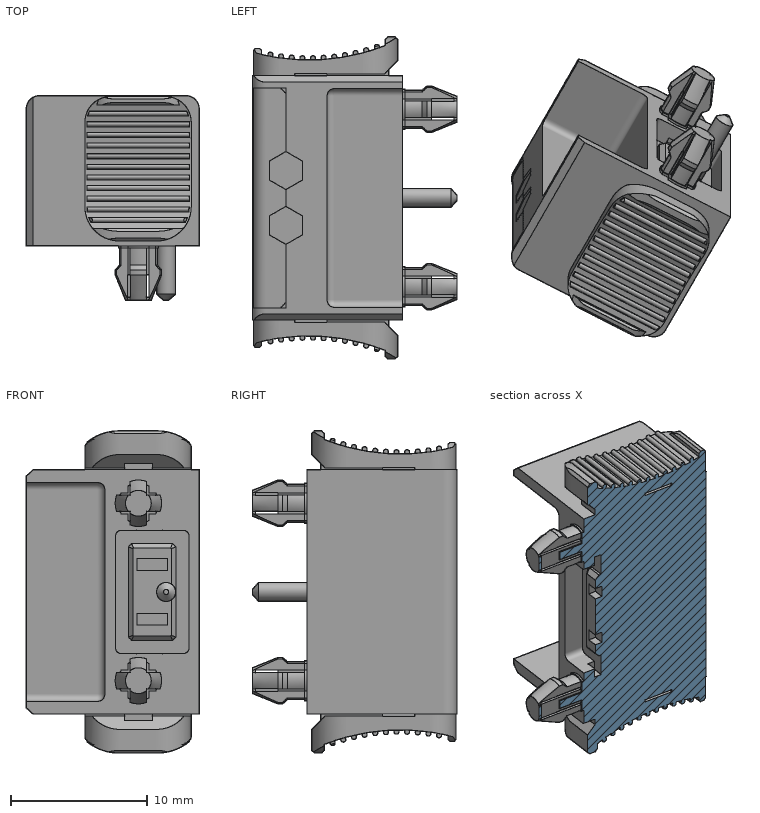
import cadquery as cq
import math

WIDTH = 12.7
DEPTH = 11.02
HEIGHT = 17.93
TOTAL_HEIGHT = 23.65
BACK_RADIUS = 1.0
EDGE_CHAMFER_X = 0.52
EDGE_CHAMFER_Z = 0.47
HALF_HEIGHT = HEIGHT / 2

NOTCH_WIDTH = 5.77
NOTCH_DEPTH = 5.53
NOTCH_HEIGHT = 16.03
NOTCH_FILLET = 0.52

PANEL_FRONT = 8.55
PANEL_HEIGHT = 16.13
PANEL_RECESS = 0.07
PANEL_PIT_LEG = 0.4
PANEL_PIT_DEPTH = 0.24
HEX_DIAMETER = 2.8
HEX_SPACING = 4.02
HEX_RECESS = 0.15

POCKET_LEFT = 6.55
POCKET_WIDTH = 5.4
POCKET_HEIGHT = 9.03
POCKET_DEPTH = 1.55
POCKET_RADIUS = 0.43
BLOCK_LEFT = 7.5
BLOCK_WIDTH = 3.48
BLOCK_LENGTH = 7.1
BLOCK_RISE = 0.52
BLOCK_CHAMFER = 0.33
BLOCK_CORNER = 0.24
SLOT_CENTRE_X = 9.25
SLOT_WIDTH = 2.27
SLOT_HEIGHT = 0.85
SLOT_SPACING = 4.02
SLOT_DEPTH = 0.6
WINDOW_LEFT = 8.1
WINDOW_WIDTH = 1.9
WINDOW_FRONT = 1.0
WINDOW_REACH = 0.7

REACH = 4.0
PIN_X = 10.26
PIN_RADIUS = 1.4 / 2
PIN_TIP_LENGTH = 0.45
PIN_TIP_RADIUS = 0.2
PEG_X = 8.23
PEG_Z = 6.5
PEG_NECK_RADIUS = 1.4
PEG_BARB_RADIUS = 1.7
PEG_TIP_RADIUS = 1.9 / 2
PEG_NECK_LENGTH = 1.42
PEG_BARB_START = 1.77
PEG_BARB_END = 2.13
PEG_ARM_WIDTH = 1.2
PEG_FOOT = 0.17
PEG_SLIT = 0.17
PEG_CORE_WIDTH = 0.7
PEG_SLIT_END = REACH - 0.24

BUTTON_LEFT = 4.3
BUTTON_WIDTH = 7.8
BUTTON_FRONT = 0.35
BUTTON_BACK = 10.95
BUTTON_FRONT_RADIUS = 2.53
BUTTON_BACK_RADIUS = 1.9
BUTTON_GAP = 0.15
BUTTON_FOOT_FRONT = 7.9
BUTTON_CHAMFER = 0.97
FRONT_CROWN_FLAT = 2.75
FRONT_CROWN_RADIUS = 3.78
BACK_CROWN_FLAT = 3.78
BACK_CROWN_WIDTH = 6.62
BACK_CROWN_RADIUS = 1.65
DISH_RADIUS = 15.14
DISH_Y = 6.85
DISH_Z = 10.12
FRONT_LIP_WIDTH = 0.92
BACK_LIP_WIDTH = 0.61
BACK_LIP_Z = 10.97
LIP_BEVEL = 0.21
BACK_LIP_BEVEL = 0.17
RIDGE_COUNT = 11
RIDGE_FIRST_Y = 1.9
RIDGE_PITCH = 0.78
RIDGE_RADIUS = 0.2
RIDGE_LIFT = 0.12
RIDGE_INSET = 0.15
STEM_LEFT = 7.21
STEM_WIDTH = 2.03
STEM_FRONT = 1.02
STEM_BACK = 5.55


def box(x, y, z, size_x, size_y, size_z):
    """Box from its low X and Y corner, centred on height z."""
    return (
        cq.Workplane("XY")
        .box(size_x, size_y, size_z, centered=(False, False, True))
        .translate((x, y, z))
    )


def rounded_block(inset):
    """Full-height block with round back edges, its side and back faces moved in by inset."""
    return (
        box(inset, 0, 0, WIDTH - 2 * inset, DEPTH - inset, HEIGHT)
        .edges("|Z and >Y")
        .fillet(BACK_RADIUS - inset)
    )


def make_body():
    """Body block with chamfered left edges and the large notch."""
    chamfer_profile = (
        cq.Workplane("XZ")
        .moveTo(0, HALF_HEIGHT)
        .lineTo(EDGE_CHAMFER_X, HALF_HEIGHT)
        .lineTo(0, HALF_HEIGHT - EDGE_CHAMFER_Z)
        .close()
        .extrude(-DEPTH)
    )
    overshoot = 2 * NOTCH_FILLET
    notch = (
        box(
            -overshoot, -overshoot, 0,
            NOTCH_WIDTH + overshoot, NOTCH_DEPTH + overshoot, NOTCH_HEIGHT,
        )
        .edges("(>X and >Y) or (>X and >Z) or (>X and <Z) or (>Y and >Z) or (>Y and <Z)")
        .fillet(NOTCH_FILLET)
    )
    return (
        rounded_block(0)
        .cut(chamfer_profile)
        .cut(chamfer_profile.mirror("XY"))
        .cut(notch)
    )


def panel_recess():
    """Shallow label recess with corner pits and two hexagons."""
    zone = box(0, PANEL_FRONT, 0, BACK_RADIUS, DEPTH - PANEL_FRONT, PANEL_HEIGHT)
    recess = zone.cut(rounded_block(PANEL_RECESS))
    half_panel = PANEL_HEIGHT / 2
    pit = (
        cq.Workplane("YZ")
        .moveTo(PANEL_FRONT, half_panel)
        .lineTo(PANEL_FRONT + PANEL_PIT_LEG, half_panel)
        .lineTo(PANEL_FRONT, half_panel - PANEL_PIT_LEG)
        .close()
        .extrude(PANEL_PIT_DEPTH)
    )
    for side in (-1, 1):
        hexagon = (
            cq.Workplane("YZ")
            .polygon(6, HEX_DIAMETER)
            .extrude(HEX_RECESS)
            .rotate((0, 0, 0), (1, 0, 0), 90)
            .translate((0, PANEL_FRONT, side * HEX_SPACING / 2))
        )
        recess = recess.union(hexagon)
    return recess.union(pit).union(pit.mirror("XY"))


def connector_pocket():
    """Space removed by the connector pocket around its raised slotted block."""
    pocket = (
        box(POCKET_LEFT, 0, 0, POCKET_WIDTH, POCKET_DEPTH, POCKET_HEIGHT)
        .edges("|Y")
        .fillet(POCKET_RADIUS)
    )
    windows = box(
        WINDOW_LEFT, WINDOW_FRONT, 0,
        WINDOW_WIDTH, POCKET_DEPTH - WINDOW_FRONT, POCKET_HEIGHT + 2 * WINDOW_REACH,
    )
    block_front = POCKET_DEPTH - BLOCK_RISE
    block = (
        box(BLOCK_LEFT, block_front, 0, BLOCK_WIDTH, BLOCK_RISE, BLOCK_LENGTH)
        .edges("|Y")
        .chamfer(BLOCK_CORNER)
        .faces("<Y")
        .chamfer(BLOCK_CHAMFER)
    )
    space = pocket.union(windows).cut(block)
    for side in (-1, 1):
        slot = box(
            SLOT_CENTRE_X - SLOT_WIDTH / 2, block_front, side * SLOT_SPACING / 2,
            SLOT_WIDTH, SLOT_DEPTH, SLOT_HEIGHT,
        )
        space = space.union(slot)
    return space


def make_pin():
    """Round contact pin with a conical tip, standing on the pocket floor."""
    return (
        cq.Workplane("XY")
        .moveTo(0, POCKET_DEPTH)
        .lineTo(PIN_RADIUS, POCKET_DEPTH)
        .lineTo(PIN_RADIUS, PIN_TIP_LENGTH - REACH)
        .lineTo(PIN_TIP_RADIUS, -REACH)
        .lineTo(0, -REACH)
        .close()
        .revolve(360, (0, 0, 0), (0, 1, 0))
        .translate((PIN_X, 0, 0))
    )


def cross(arm_width, length):
    """Plus-shaped prism along -Y with arms reaching past the peg barbs."""
    span = 2 * PEG_BARB_RADIUS
    arm = box(-span / 2, -length, 0, span, length, arm_width)
    return arm.union(arm.rotate((0, 0, 0), (0, 1, 0), 90))


def make_peg():
    """Barbed snap peg: four prongs around a post, joined at foot and tip."""
    barbed = (
        cq.Workplane("XY")
        .lineTo(PEG_NECK_RADIUS, 0)
        .lineTo(PEG_NECK_RADIUS, -PEG_NECK_LENGTH)
        .lineTo(PEG_BARB_RADIUS, -PEG_BARB_START)
        .lineTo(PEG_BARB_RADIUS, -PEG_BARB_END)
        .lineTo(PEG_TIP_RADIUS, -REACH)
        .lineTo(0, -REACH)
        .close()
        .revolve(360, (0, 0, 0), (0, 1, 0))
    )
    foot = (
        cq.Workplane("XZ")
        .circle(PEG_NECK_RADIUS + PEG_FOOT / 2)
        .extrude(PEG_FOOT)
        .intersect(cross(PEG_ARM_WIDTH + 2 * PEG_FOOT, PEG_FOOT))
    )
    peg = barbed.intersect(cross(PEG_ARM_WIDTH, REACH)).union(foot)
    for angle in range(0, 360, 90):
        slit = box(
            PEG_ARM_WIDTH / 2, -PEG_SLIT_END, 0,
            PEG_SLIT, PEG_SLIT_END - PEG_FOOT, PEG_ARM_WIDTH,
        )
        web = box(PEG_ARM_WIDTH / 2, -PEG_BARB_END, 0, PEG_SLIT, PEG_BARB_END, PEG_CORE_WIDTH)
        peg = peg.cut(slit.cut(web).rotate((0, 0, 0), (0, 1, 0), angle))
    return peg.translate((PEG_X, 0, 0))


def dish_height(y):
    """Height of the concave button top at depth y."""
    return DISH_Z + DISH_RADIUS - math.sqrt(DISH_RADIUS**2 - (y - DISH_Y) ** 2)


def crown(top, flat, width, radius):
    """Envelope centred on the button, flat on top with round shoulders to both sides."""
    half_flat = flat / 2
    half_width = width / 2
    run = half_width - half_flat

    def shoulder(distance):
        fall = radius - math.sqrt(radius**2 - distance**2)
        return (half_flat + distance, top - fall)

    mid_x, mid_z = shoulder(run / 2)
    end_x, end_z = shoulder(run)
    return (
        cq.Workplane("XZ")
        .moveTo(-half_flat, top)
        .lineTo(half_flat, top)
        .threePointArc((mid_x, mid_z), (end_x, end_z))
        .lineTo(end_x, HALF_HEIGHT)
        .lineTo(-end_x, HALF_HEIGHT)
        .lineTo(-end_x, end_z)
        .threePointArc((-mid_x, mid_z), (-half_flat, top))
        .close()
        .extrude(-DEPTH)
        .translate((BUTTON_LEFT + BUTTON_WIDTH / 2, 0, 0))
    )


def back_lip():
    """Narrow raised lip along the back of the button."""
    bar = (
        box(
            BUTTON_LEFT, BUTTON_BACK - BACK_LIP_WIDTH, (HALF_HEIGHT + BACK_LIP_Z) / 2,
            BUTTON_WIDTH, BACK_LIP_WIDTH, BACK_LIP_Z - HALF_HEIGHT,
        )
        .edges("|X and >Z")
        .chamfer(BACK_LIP_BEVEL)
    )
    return bar.intersect(crown(BACK_LIP_Z, BACK_CROWN_FLAT, BACK_CROWN_WIDTH, BACK_CROWN_RADIUS))


def button_outline(inset):
    """Tall prism with the rounded plan shape of the button, moved in by inset."""
    length = BUTTON_BACK - BUTTON_FRONT
    return (
        box(
            BUTTON_LEFT + inset, BUTTON_FRONT + inset, 0,
            BUTTON_WIDTH - 2 * inset, length - 2 * inset, 2 * TOTAL_HEIGHT,
        )
        .edges("|Z and <Y")
        .fillet(BUTTON_FRONT_RADIUS - inset)
        .edges("|Z and >Y")
        .fillet(BUTTON_BACK_RADIUS - inset)
    )


def make_button():
    """Top push button: dished, ridged, undercut at the front, on a stem."""
    top = TOTAL_HEIGHT / 2
    underside = HALF_HEIGHT + BUTTON_GAP
    front_lip_end = BUTTON_FRONT + FRONT_LIP_WIDTH
    profile = (
        cq.Workplane("YZ")
        .moveTo(BUTTON_FRONT + BUTTON_CHAMFER, underside)
        .lineTo(BUTTON_FRONT, underside + BUTTON_CHAMFER)
        .lineTo(BUTTON_FRONT, top - LIP_BEVEL)
        .lineTo(BUTTON_FRONT + LIP_BEVEL, top)
        .lineTo(front_lip_end - LIP_BEVEL, top)
        .lineTo(front_lip_end, top - LIP_BEVEL)
        .lineTo(front_lip_end, dish_height(front_lip_end))
        .threePointArc((DISH_Y, DISH_Z), (BUTTON_BACK, dish_height(BUTTON_BACK)))
        .lineTo(BUTTON_BACK, HALF_HEIGHT)
        .lineTo(BUTTON_FOOT_FRONT, HALF_HEIGHT)
        .lineTo(BUTTON_FOOT_FRONT, underside)
        .close()
        .extrude(BUTTON_WIDTH)
        .translate((BUTTON_LEFT, 0, 0))
        .union(back_lip())
    )
    front_crown = crown(top, FRONT_CROWN_FLAT, BUTTON_WIDTH, FRONT_CROWN_RADIUS)
    button = profile.intersect(button_outline(0)).intersect(front_crown)
    ridge_outline = button_outline(RIDGE_INSET).intersect(front_crown)
    for index in range(RIDGE_COUNT):
        ridge_y = RIDGE_FIRST_Y + index * RIDGE_PITCH
        ridge = (
            cq.Workplane("YZ")
            .center(ridge_y, dish_height(ridge_y) + RIDGE_LIFT)
            .circle(RIDGE_RADIUS)
            .extrude(BUTTON_WIDTH)
            .translate((BUTTON_LEFT, 0, 0))
            .intersect(ridge_outline)
        )
        button = button.union(ridge)
    stem_height = 2 * BUTTON_CHAMFER
    stem = box(
        STEM_LEFT, STEM_FRONT, HALF_HEIGHT, STEM_WIDTH, STEM_BACK - STEM_FRONT, stem_height
    )
    return button.union(stem)


result = make_body().cut(panel_recess()).cut(connector_pocket()).union(make_pin())
upper_peg = make_peg().translate((0, 0, PEG_Z))
upper_button = make_button()
for feature in (upper_peg, upper_button):
    result = result.union(feature).union(feature.mirror("XY"))